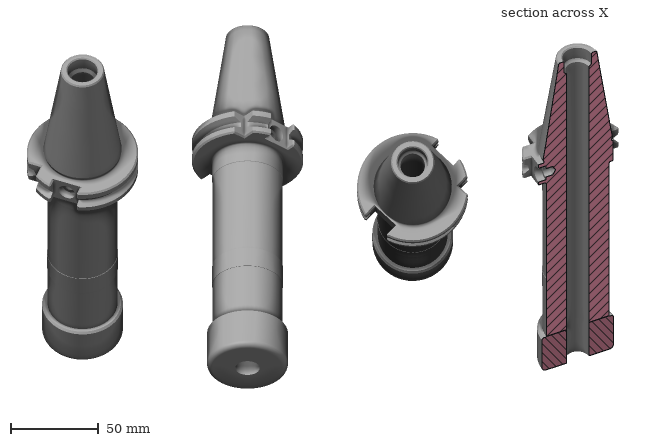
import cadquery as cq
import math

total_length = 228.2
nut_height = 25.0
ring_bottom = 56.8
ring_top = 69.2
collar_bottom = 129.0
flange_bottom = 141.3
flange_top = 156.8
gauge_height = 159.5

gauge_radius = 44.5 / 2
taper_ratio = 7 / 24
tip_chamfer_width = 0.7
tip_chamfer_height = 1.0
neck_radius = 21.7
neck_fillet = 0.7

flange_radius = 63.5 / 2
rim_chamfer = 1.0
groove_radius = 28.0
groove_height = 148.8
groove_floor_width = 3.2
groove_flank_angle = 30

shank_radius = 40.0 / 2
collar_radius = 40.5 / 2
root_fillet = 1.0

slot_width = 16.0
front_slot_floor = 25.0
back_slot_floor = 22.5
notch_offset = 18.5
blind_hole_radius = 6.0 / 2
blind_hole_depth = 9.1
blind_hole_recess_radius = 10.0 / 2
blind_hole_recess_depth = 4.5
drill_tip_angle = 118

bore_radius = 14.0 / 2
counterbore_radius = 17.1 / 2
counterbore_depth = 8.5
mouth_chamfer = 0.7

nut_radius = 46.0 / 2
nut_top_chamfer = 1.1
nut_bottom_fillet = 3.2


def taper_radius(height):
    return gauge_radius - (height - gauge_height) * taper_ratio / 2


def revolved(profile):
    """Turn a closed half profile drawn as (radius, height) about the Z axis."""
    return profile.close().revolve(360, (0, 0, 0), (0, 1, 0))


def holder_shaft():
    """Shank, flange core and spindle taper without the flange rim."""
    taper_end = total_length - tip_chamfer_height
    collar_step = collar_radius - shank_radius
    fillet_middle = neck_fillet * (1 - math.sqrt(0.5))
    root_middle = root_fillet * (1 - math.sqrt(0.5))
    return revolved(
        cq.Workplane("XZ")
        .moveTo(0, nut_height)
        .lineTo(shank_radius, nut_height)
        .lineTo(shank_radius, ring_bottom)
        .lineTo(collar_radius, ring_bottom)
        .lineTo(collar_radius, ring_top)
        .lineTo(shank_radius, ring_top)
        .lineTo(shank_radius, collar_bottom)
        .lineTo(collar_radius, collar_bottom + collar_step)
        .lineTo(collar_radius, flange_bottom - root_fillet)
        .threePointArc(
            (collar_radius + root_middle, flange_bottom - root_middle),
            (collar_radius + root_fillet, flange_bottom),
        )
        .lineTo(neck_radius + neck_fillet, flange_bottom)
        .lineTo(neck_radius + neck_fillet, flange_top)
        .threePointArc(
            (neck_radius + fillet_middle, flange_top + fillet_middle),
            (neck_radius, flange_top + neck_fillet),
        )
        .lineTo(gauge_radius, gauge_height)
        .lineTo(taper_radius(taper_end), taper_end)
        .lineTo(taper_radius(taper_end) - tip_chamfer_width, total_length)
        .lineTo(0, total_length)
    )


def gripper_groove():
    """Ring with a trapezoidal section, cut into the rim of the flange."""
    flank_height = (flange_radius - groove_radius) * math.tan(math.radians(groove_flank_angle))
    floor_half = groove_floor_width / 2
    mouth_half = floor_half + flank_height
    return revolved(
        cq.Workplane("XZ")
        .moveTo(flange_radius, groove_height - mouth_half)
        .lineTo(groove_radius, groove_height - floor_half)
        .lineTo(groove_radius, groove_height + floor_half)
        .lineTo(flange_radius, groove_height + mouth_half)
    )


def flange_cutter(x_min, x_max, y_min, y_max):
    height = flange_top - flange_bottom
    return (
        cq.Workplane("XY")
        .box(x_max - x_min, y_max - y_min, height, centered=False)
        .translate((x_min, y_min, flange_bottom))
    )


def blind_hole():
    """Recessed drilled hole running into the floor of the front slot."""
    tip_depth = blind_hole_radius / math.tan(math.radians(drill_tip_angle / 2))
    return (
        revolved(
            cq.Workplane("XZ")
            .lineTo(blind_hole_recess_radius, 0)
            .lineTo(blind_hole_recess_radius, blind_hole_recess_depth)
            .lineTo(blind_hole_radius, blind_hole_recess_depth)
            .lineTo(blind_hole_radius, blind_hole_depth)
            .lineTo(0, blind_hole_depth + tip_depth)
        )
        .rotate((0, 0, 0), (1, 0, 0), -90)
        .translate((0, -front_slot_floor, groove_height))
    )


def axial_bore():
    shelf = total_length - counterbore_depth
    return revolved(
        cq.Workplane("XZ")
        .lineTo(bore_radius, 0)
        .lineTo(bore_radius, shelf - (counterbore_radius - bore_radius))
        .lineTo(counterbore_radius, shelf)
        .lineTo(counterbore_radius, total_length - mouth_chamfer)
        .lineTo(counterbore_radius + mouth_chamfer, total_length)
        .lineTo(0, total_length)
    )


def make_flange():
    """Disc with two driving slots and a corner notch, its rim edges chamfered, then grooved."""
    half_slot = slot_width / 2
    front_slot = flange_cutter(-half_slot, half_slot, -flange_radius, -front_slot_floor)
    back_slot = flange_cutter(-half_slot, half_slot, back_slot_floor, flange_radius)
    notch = flange_cutter(-flange_radius, -notch_offset, -flange_radius, -notch_offset)
    disc = (
        cq.Workplane("XY", origin=(0, 0, flange_bottom))
        .circle(flange_radius)
        .extrude(flange_top - flange_bottom)
        .cut(front_slot)
        .cut(back_slot)
        .cut(notch)
    )

    slot_mouth_y = math.sqrt(flange_radius**2 - half_slot**2)
    slot_mouth_edges = [
        disc.edges(cq.selectors.NearestToPointSelector((x, y, groove_height))).val()
        for x in (-half_slot, half_slot)
        for y in (-slot_mouth_y, slot_mouth_y)
    ]
    slot_floors = (-front_slot_floor, back_slot_floor)
    end_face_edges = [
        edge
        for edge in disc.faces("|Z").edges().vals()
        if not any(math.isclose(edge.Center().y, floor, abs_tol=0.02) for floor in slot_floors)
    ]
    return (
        disc.newObject(slot_mouth_edges + end_face_edges)
        .chamfer(rim_chamfer)
        .cut(gripper_groove())
    )


def make_holder():
    return holder_shaft().union(make_flange()).cut(blind_hole()).cut(axial_bore())


def make_nut():
    return (
        cq.Workplane("XY")
        .circle(nut_radius)
        .extrude(nut_height)
        .faces(">Z").edges().chamfer(nut_top_chamfer)
        .faces("<Z").edges().fillet(nut_bottom_fillet)
        .cut(axial_bore())
    )


holder = make_holder()
nut = make_nut()

result = cq.Compound.makeCompound([holder.val(), nut.val()])